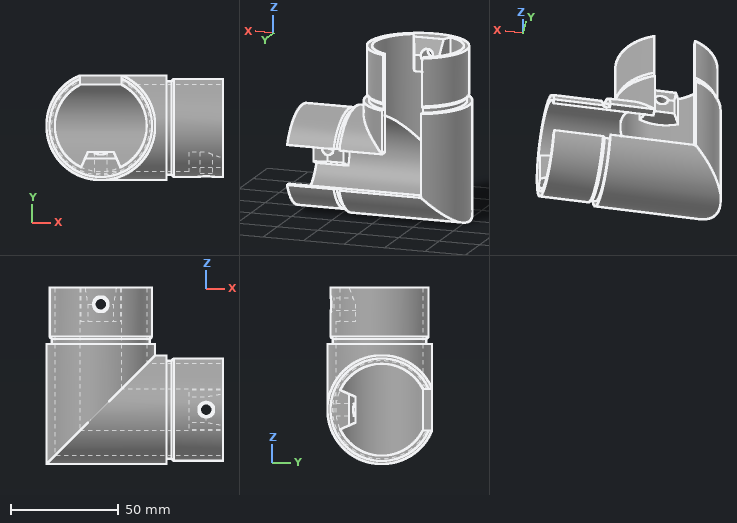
import cadquery as cq

leg_length = 82.5
body_radius = 25.4
spigot_radius = 23.9
groove_radius = 22.9
bore_radius = 21.45

body_end = 56.1
groove_end = 58.4
spigot_start = 59.5

slot_half_width = 9.65

hole_diameter = 6.0
countersink_diameter = 7.4
countersink_depth = 1.65
hole_setback = 7.9
hole_station = leg_length - hole_setback

pad_inner_half_width = 6.0
pad_root_half_width = 9.15
pad_inner_offset = 12.3
pad_root_offset = 19.4
pad_end_offset = 15.3
pad_length = 2 * hole_setback
pad_bottom = leg_length - pad_length
pad_embed_offset = (bore_radius + groove_radius) / 2


def make_tube():
    """Stepped, bored tube about the Z axis."""
    profile = [
        (bore_radius, 0),
        (body_radius, 0),
        (body_radius, body_end),
        (groove_radius, body_end),
        (groove_radius, groove_end),
        (spigot_radius, spigot_start),
        (spigot_radius, leg_length),
        (bore_radius, leg_length),
    ]
    return cq.Workplane("XZ").polyline(profile).close().revolve(360, (0, 0), (0, 1))


def make_pad():
    """Tapered pad on the front of the bore, with a ramp at the leg end."""
    trapezoid = [
        (-pad_inner_half_width, -pad_inner_offset),
        (pad_inner_half_width, -pad_inner_offset),
        (pad_root_half_width, -pad_root_offset),
        (pad_root_half_width, -pad_embed_offset),
        (-pad_root_half_width, -pad_embed_offset),
        (-pad_root_half_width, -pad_root_offset),
    ]
    side_outline = [
        (-pad_embed_offset, pad_bottom),
        (-pad_inner_offset, pad_bottom),
        (-pad_inner_offset, hole_station),
        (-pad_end_offset, leg_length),
        (-pad_embed_offset, leg_length),
    ]
    taper = cq.Workplane("XY").workplane(offset=pad_bottom).polyline(trapezoid).close().extrude(pad_length)
    ramp = cq.Workplane("YZ").polyline(side_outline).close().extrude(pad_root_half_width, both=True)
    envelope = cq.Workplane("XY").circle(groove_radius).extrude(leg_length)
    return taper.intersect(ramp).intersect(envelope)


def make_screw_hole():
    """Cutter for the countersunk hole in the front wall."""
    profile = [
        (0, 0),
        (hole_diameter / 2, 0),
        (hole_diameter / 2, spigot_radius - countersink_depth),
        (countersink_diameter / 2, spigot_radius),
        (0, spigot_radius),
    ]
    cutter = cq.Workplane("XY").polyline(profile).close().revolve(360, (0, 0), (0, 1))
    return cutter.rotate((0, 0, 0), (0, 0, 1), 180).translate((0, 0, hole_station))


def make_slot():
    """Cutter for the full-length slot in the back wall."""
    return cq.Workplane("XY").box(
        2 * slot_half_width, body_radius, leg_length, centered=(True, False, False)
    )


def make_upright_leg():
    """Vertical leg, trimmed to the side of the mitre where Z is greater than X."""
    leg = make_tube().union(make_pad()).cut(make_screw_hole()).cut(make_slot())
    mitre_half = (
        cq.Workplane("XZ")
        .polyline([(0, 0), (leg_length, leg_length), (0, leg_length)])
        .close()
        .extrude(body_radius, both=True)
    )
    return leg.translate((body_radius, 0, 0)).intersect(mitre_half)


upright_leg = make_upright_leg()
level_leg = upright_leg.mirror(cq.Vector(1, 0, -1), (0, 0, 0))
result = upright_leg.union(level_leg)